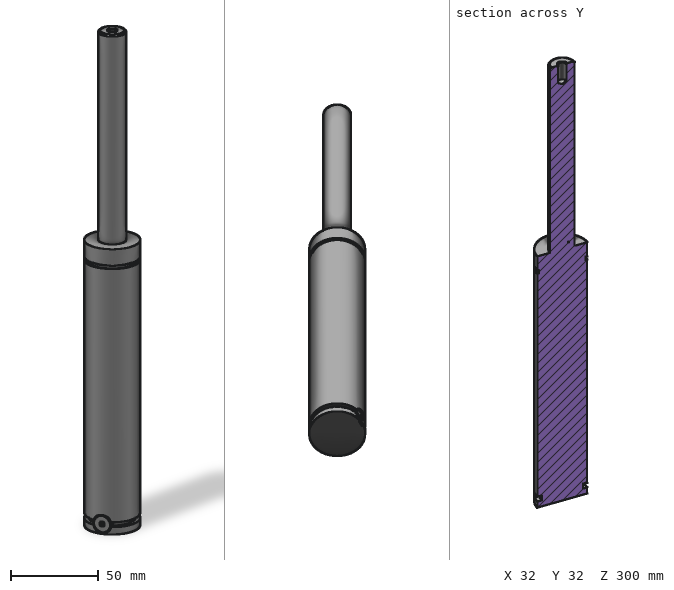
import cadquery as cq
import math

total_height = 300.0
body_diameter = 32.0
body_height = 173.0
rod_diameter = 16.0
rod_chamfer = 1.0

cap_height = 10.0
cap_groove_width = 2.0
cap_groove_depth = 1.0

base_groove_bottom = 4.5
base_groove_width = 3.0
base_groove_depth = 2.75

rod_hole_diameter = 5.0
rod_hole_depth = 12.0
rod_hole_mouth_diameter = 6.0
drill_point_angle = 118.0

port_height = 5.8
port_diameter = 11.0
port_face_diameter = 10.0
port_face_depth = 0.5
port_bore_depth = 1.0
port_hole_diameter = 3.0
port_hole_depth = 3.0

body_radius = body_diameter / 2
port_inner_depth = body_radius / 2


def cylinder(diameter, bottom, height):
    """Vertical cylinder on the part axis."""
    return cq.Workplane("XY", origin=(0, 0, bottom)).circle(diameter / 2).extrude(height)


def ring_groove(bottom, width, depth):
    """Ring of material to cut around the outside of the body."""
    return cylinder(body_diameter + 2 * depth, bottom, width).cut(
        cylinder(body_diameter - 2 * depth, bottom, width)
    )


def port_cylinder(diameter, outer_depth, inner_depth):
    """Cylinder along Y between two depths below the outermost line of the body."""
    face = cq.Workplane("XZ", origin=(0, outer_depth - body_radius, port_height))
    return face.circle(diameter / 2).extrude(outer_depth - inner_depth)


def make_body():
    body = cylinder(body_diameter, 0, body_height)
    cap_groove_bottom = body_height - cap_height - cap_groove_width
    body = body.cut(ring_groove(cap_groove_bottom, cap_groove_width, cap_groove_depth))
    return body.cut(ring_groove(base_groove_bottom, base_groove_width, base_groove_depth))


def make_rod():
    rod = cylinder(rod_diameter, body_height, total_height - body_height)
    return rod.faces(">Z").chamfer(rod_chamfer)


def drilled_hole(diameter, depth):
    """Hole opening at the origin and running down -Z to a conical drill point."""
    radius = diameter / 2
    point_depth = radius / math.tan(math.radians(drill_point_angle / 2))
    profile = [(0, 0), (radius, 0), (radius, -depth), (0, -depth - point_depth)]
    return cq.Workplane("XZ").polyline(profile).close().revolve(360, (0, 0), (0, 1))


def cut_rod_hole(part):
    hole = drilled_hole(rod_hole_diameter, rod_hole_depth)
    mouth_chamfer = (rod_hole_mouth_diameter - rod_hole_diameter) / 2
    hole = hole.union(
        cq.Workplane("XY")
        .circle(rod_hole_mouth_diameter / 2)
        .workplane(offset=-mouth_chamfer)
        .circle(rod_hole_diameter / 2)
        .loft()
    )
    return part.cut(hole.translate((0, 0, total_height)))


def add_port(part):
    """Chamfered plug with a drilled hole, seated in a shallow bore."""
    bore = port_cylinder(port_diameter, 0, port_bore_depth)
    plug = port_cylinder(port_diameter, port_face_depth, port_inner_depth)
    chamfer_width = (port_diameter - port_face_diameter) / 2
    plug = plug.faces("<Y").chamfer(port_bore_depth - port_face_depth, chamfer_width)
    hole = port_cylinder(port_hole_diameter, 0, port_hole_depth)
    return part.cut(bore).union(plug).cut(hole)


result = add_port(cut_rod_hole(make_body().union(make_rod()))).solids()